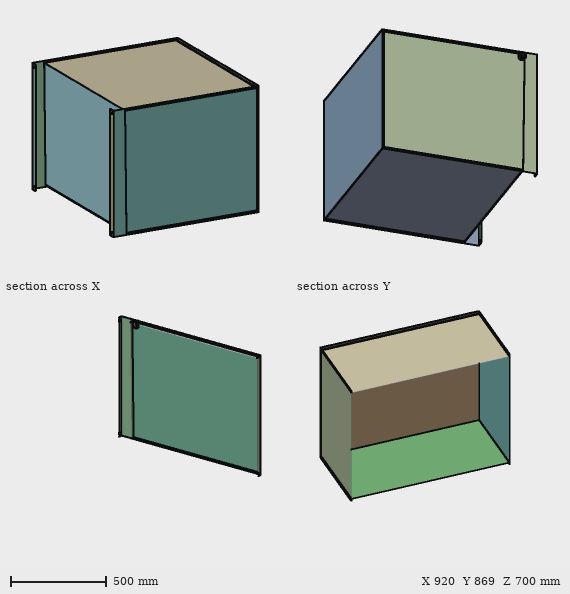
import cadquery as cq

TOTAL_WIDTH = 920
DEPTH = 869.0
HEIGHT = 700.0
SHEET = 3.0
BEND_RADIUS = 4.0

PIPE_LENGTH = 19.0
PIPE_DIAMETER = 40.0
BORE_DIAMETER = 24.0
PIPE_DROP = 29.0

TANK_INSET = 9.0
TANK_SETBACK_TOP = 70.0
TANK_SETBACK_BOTTOM = 78.0

FLANGE_WIDTH = 41.0
FLANGE_CORNER = 5.5
HOLE_DIAMETER = 11.0
HOLE_EDGE_DISTANCE = 19.0

LEFT = -TOTAL_WIDTH / 2 + PIPE_LENGTH
RIGHT = TOTAL_WIDTH / 2
FRONT = -DEPTH / 2
BACK = DEPTH / 2
TOP = HEIGHT / 2
BOTTOM = -HEIGHT / 2
PIPE_Y = FRONT + TANK_SETBACK_TOP + PIPE_DIAMETER / 2
PIPE_Z = TOP - PIPE_DROP


def block(x_min, x_max, y_min, y_max):
    """Full-height block between the given X and Y limits."""
    size = (x_max - x_min, y_max - y_min, HEIGHT)
    return cq.Workplane("XY").box(*size, centered=False).translate((x_min, y_min, BOTTOM))


def make_frame():
    """Side plates, back plate and inward front flanges."""
    back_plate = block(LEFT, RIGHT, BACK - SHEET, BACK)
    left_plate = block(LEFT, LEFT + SHEET, FRONT, BACK)
    right_plate = block(RIGHT - SHEET, RIGHT, FRONT, BACK)
    left_flange = block(LEFT, LEFT + FLANGE_WIDTH, FRONT, FRONT + SHEET)
    left_flange = left_flange.faces(">X").edges("|Y").chamfer(FLANGE_CORNER)
    right_flange = block(RIGHT - FLANGE_WIDTH, RIGHT, FRONT, FRONT + SHEET)
    right_flange = right_flange.faces("<X").edges("|Y").chamfer(FLANGE_CORNER)
    frame = back_plate.union(left_plate).union(right_plate).union(left_flange).union(right_flange)
    for side in ("<X", ">X"):
        frame = frame.faces(side).edges("|Z").fillet(BEND_RADIUS)
    return frame


def tank_profile(x_start):
    """Side outline of the tank with its leaning front panel."""
    return (
        cq.Workplane("YZ", origin=(x_start, 0, 0))
        .moveTo(FRONT + TANK_SETBACK_BOTTOM, BOTTOM + TANK_INSET)
        .lineTo(BACK - TANK_INSET, BOTTOM + TANK_INSET)
        .lineTo(BACK - TANK_INSET, TOP - TANK_INSET)
        .lineTo(FRONT + TANK_SETBACK_TOP, TOP - TANK_INSET)
        .close()
    )


def make_tank():
    """Hollow sheet tank; the frame's side plates close its ends."""
    inner_left = LEFT + SHEET
    inner_width = RIGHT - LEFT - 2 * SHEET
    outside = tank_profile(inner_left).extrude(inner_width)
    cavity = tank_profile(inner_left).offset2D(-SHEET).extrude(inner_width)
    return outside.cut(cavity)


def pipe_cylinder(diameter, length):
    """Cylinder on the pipe axis, running inward from the pipe mouth."""
    mouth = cq.Workplane("YZ", origin=(-TOTAL_WIDTH / 2, PIPE_Y, PIPE_Z))
    return mouth.circle(diameter / 2).extrude(length)


def flange_holes():
    """Cutters for one hole near each end of both flanges."""
    centres = [
        (x, z)
        for x in (LEFT + HOLE_EDGE_DISTANCE, RIGHT - HOLE_EDGE_DISTANCE)
        for z in (BOTTOM + HOLE_EDGE_DISTANCE, TOP - HOLE_EDGE_DISTANCE)
    ]
    flange_front = cq.Workplane("XZ", origin=(0, FRONT, 0))
    return flange_front.pushPoints(centres).circle(HOLE_DIAMETER / 2).extrude(-SHEET)


pipe = pipe_cylinder(PIPE_DIAMETER, PIPE_LENGTH)
bore = pipe_cylinder(BORE_DIAMETER, PIPE_LENGTH + SHEET)
result = make_frame().union(make_tank()).union(pipe).cut(bore).cut(flange_holes())